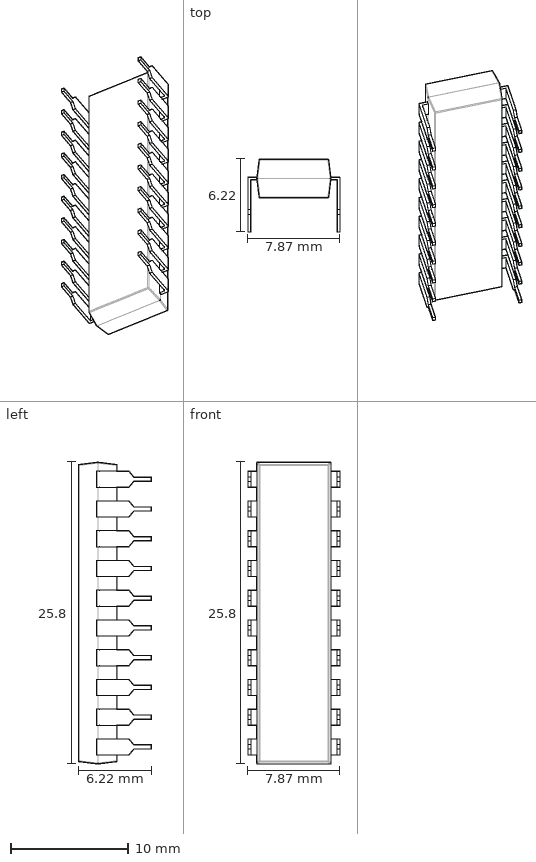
import cadquery as cq
import math


BODY_WIDTH = 6.35
BODY_LENGTH = 25.78
BODY_THICKNESS = 3.3
DRAFT_ANGLE = 7.0
BODY_EDGE_RADIUS = 0.08

LEADS_PER_ROW = 10
LEAD_PITCH = 2.54
LEAD_SPAN = 7.87
LEAD_THICKNESS = 0.254
BEND_RADIUS = 0.08
SHOULDER_WIDTH = 1.4
TIP_WIDTH = 0.38
TOTAL_DEPTH = 6.22
TIP_LENGTH = 1.5
NECK_LENGTH = 0.42
LEAD_EMBED = 0.5

half_thickness = BODY_THICKNESS / 2
lead_top_y = LEAD_THICKNESS / 2
tip_y = half_thickness - TOTAL_DEPTH
neck_end_y = tip_y + TIP_LENGTH
neck_start_y = neck_end_y + NECK_LENGTH
outer_x = LEAD_SPAN / 2


def make_body():
    """Two drafted halves that meet at the parting plane."""
    inset = half_thickness * math.tan(math.radians(DRAFT_ANGLE))

    def half(direction):
        block = (
            cq.Workplane("XZ")
            .rect(BODY_WIDTH, BODY_LENGTH)
            .workplane(offset=direction * half_thickness)
            .rect(BODY_WIDTH - 2 * inset, BODY_LENGTH - 2 * inset)
            .loft(ruled=True)
        )
        parting_face = ">Y" if direction > 0 else "<Y"
        return block.edges(f"not ({parting_face})").fillet(BODY_EDGE_RADIUS)

    return half(1).union(half(-1), clean=False)


def make_lead():
    """One lead on the +X side, centred on Z = 0."""
    half_shoulder = SHOULDER_WIDTH / 2
    half_tip = TIP_WIDTH / 2
    blade = (
        cq.Workplane("YZ", origin=(outer_x - LEAD_THICKNESS, 0, 0))
        .polyline([
            (lead_top_y, half_shoulder),
            (neck_start_y, half_shoulder),
            (neck_end_y, half_tip),
            (tip_y, half_tip),
            (tip_y, -half_tip),
            (neck_end_y, -half_tip),
            (neck_start_y, -half_shoulder),
            (lead_top_y, -half_shoulder),
        ])
        .close()
        .extrude(LEAD_THICKNESS)
    )
    arm_start_x = BODY_WIDTH / 2 - LEAD_EMBED
    arm_length = outer_x - arm_start_x
    arm = cq.Workplane("XY").box(arm_length, LEAD_THICKNESS, SHOULDER_WIDTH)
    arm = arm.translate((arm_start_x + arm_length / 2, 0, 0))
    return blade.union(arm).edges("|Z and >X and >Y").fillet(BEND_RADIUS)


result = make_body()
right_lead = make_lead()
left_lead = right_lead.mirror("YZ")
for index in range(LEADS_PER_ROW):
    lead_z = (index - (LEADS_PER_ROW - 1) / 2) * LEAD_PITCH
    for lead in (right_lead, left_lead):
        result = result.union(lead.translate((0, 0, lead_z)))